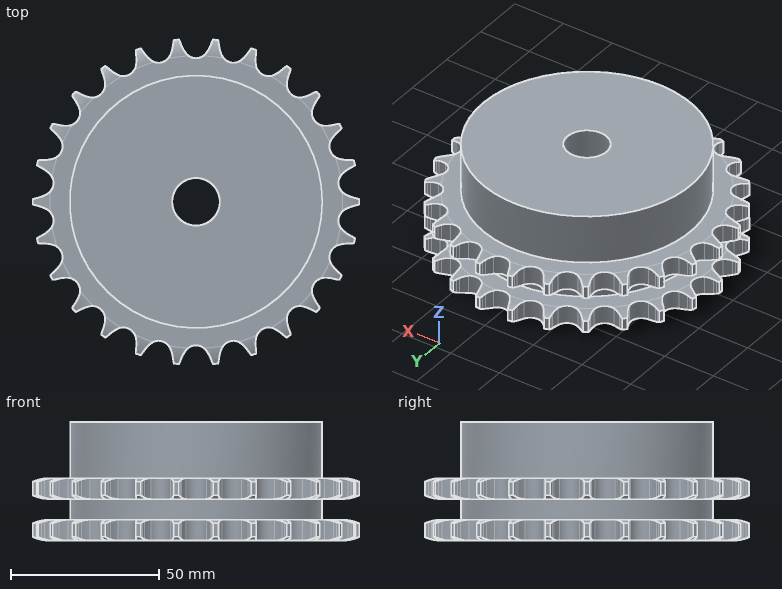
import cadquery as cq
import math


hub_diameter = 85.0
bore_diameter = 16.0
total_height = 40.0

tooth_count = 26
outer_radius = 55.0
pitch_radius = 52.7
row_count = 2
rows_width = 21.1
groove_width = 6.9
disc_thickness = (rows_width - groove_width * (row_count - 1)) / row_count
row_spacing = disc_thickness + groove_width

seat_radius = 4.3
working_radius = 11.1
flank_length = 1.1
topping_radius = 6.9
topping_angle = 20

seat_half_angle = 90 - (35 + 60 / tooth_count)
working_angle = 18 - 56 / tooth_count

relief_start_radius = 49.3
relief_arc_radius = 13.5


def arc_point(center_x, center_y, radius, angle):
    """Point on a circle, with the angle in degrees measured from straight down."""
    turn = math.radians(angle)
    return (center_x + radius * math.sin(turn), center_y - radius * math.cos(turn))


def gap_cutter():
    """One tooth gap, symmetric about +Y, extruded through the disc thickness."""
    flank_angle = seat_half_angle + working_angle
    seat_end = arc_point(0, pitch_radius, seat_radius, seat_half_angle)

    center_x, center_y = arc_point(0, pitch_radius, seat_radius - working_radius, seat_half_angle)
    working_mid = arc_point(center_x, center_y, working_radius, seat_half_angle + working_angle / 2)
    working_end = arc_point(center_x, center_y, working_radius, flank_angle)

    flank_turn = math.radians(flank_angle)
    flank_end = (
        working_end[0] + flank_length * math.cos(flank_turn),
        working_end[1] + flank_length * math.sin(flank_turn),
    )

    top_x, top_y = arc_point(*flank_end, topping_radius, flank_angle)
    topping_mid = arc_point(top_x, top_y, -topping_radius, flank_angle - topping_angle / 2)
    topping_end = arc_point(top_x, top_y, -topping_radius, flank_angle - topping_angle)

    def mirrored(point):
        return (-point[0], point[1])

    return (
        cq.Workplane("XY")
        .moveTo(*topping_end)
        .threePointArc(topping_mid, flank_end)
        .lineTo(*working_end)
        .threePointArc(working_mid, seat_end)
        .threePointArc((0, pitch_radius - seat_radius), mirrored(seat_end))
        .threePointArc(mirrored(working_mid), mirrored(working_end))
        .lineTo(*mirrored(flank_end))
        .threePointArc(mirrored(topping_mid), mirrored(topping_end))
        .close()
        .extrude(disc_thickness)
    )


def disc_blank():
    """Round disc whose rim is relieved by an arc on both faces."""
    relief_width = outer_radius - relief_start_radius

    def relief_depth(distance):
        return relief_arc_radius - math.sqrt(relief_arc_radius**2 - distance**2)

    mid_radius = relief_start_radius + relief_width / 2
    mid_depth = relief_depth(relief_width / 2)
    rim_depth = relief_depth(relief_width)
    return (
        cq.Workplane("XZ")
        .lineTo(relief_start_radius, 0)
        .threePointArc((mid_radius, mid_depth), (outer_radius, rim_depth))
        .lineTo(outer_radius, disc_thickness - rim_depth)
        .threePointArc((mid_radius, disc_thickness - mid_depth), (relief_start_radius, disc_thickness))
        .lineTo(0, disc_thickness)
        .close()
        .revolve(360, (0, 0), (0, 1))
    )


def toothed_disc():
    """Disc with its teeth, one of them centred on +X."""
    tooth_pitch = 360 / tooth_count
    cutter = gap_cutter()
    first_gap = tooth_pitch / 2 - 90
    disc = disc_blank()
    for index in range(tooth_count):
        angle = first_gap + index * tooth_pitch
        disc = disc.cut(cutter.rotate((0, 0, 0), (0, 0, 1), angle))
    return disc


hub = cq.Workplane("XY").circle(hub_diameter / 2).extrude(total_height)
bore = cq.Workplane("XY").circle(bore_diameter / 2).extrude(total_height)

disc = toothed_disc()
body = hub
for row in range(row_count):
    body = body.union(disc.translate((0, 0, row * row_spacing)))

result = body.cut(bore)